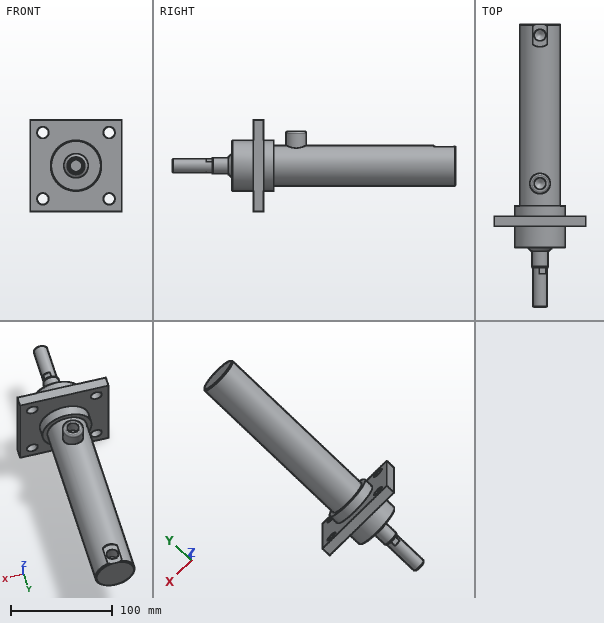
import cadquery as cq
import math

LENGTH = 278.0

ROD_DIA = 16.0
TIP_DIA = 14.0
TIP_LENGTH = 39.0
TIP_CHAMFER = 1.0
SHOULDER_CHAMFER_LENGTH = 1.5
SHOULDER_CHAMFER_DEPTH = 0.5
FLAT_LENGTH = 5.8
ACROSS_FLATS = 12.0
FLAT_TILT = 25.0

HEAD_DIA = 50.0
HEAD_FRONT = 58.5
HEAD_LENGTH = 41.1
HEAD_BACK = HEAD_FRONT + HEAD_LENGTH
HEAD_CHAMFER = 0.8
COLLAR_BASE_DIA = 24.0
COLLAR_FRONT_DIA = 17.2
COLLAR_LENGTH = (COLLAR_BASE_DIA - COLLAR_FRONT_DIA) / 2
FLANGE_SIZE = 90.0
FLANGE_THICKNESS = 10.0
FLANGE_FRONT = HEAD_BACK - 2 * FLANGE_THICKNESS
FLANGE_HOLE_DIA = 11.0
FLANGE_HOLE_PITCH = 65.0

TUBE_DIA = 40.0
TUBE_CHAMFER = 1.0

PORT_DIA = 11.5
PORT_DEPTH = 12.5
DRILL_POINT_ANGLE = 118.0
BOSS_DIA = 20.0
BOSS_TOP = 34.0
BOSS_EDGE_RADIUS = 2.0
BOSS_Y = 121.5
END_PORT_Y = LENGTH - 10.8
SPOTFACE_DIA = 23.0
SPOTFACE_DEPTH = 1.5
SPOTFACE_Z = TUBE_DIA / 2 - SPOTFACE_DEPTH


def rod_cylinder(diameter, start, length):
    """Cylinder on the Y axis from Y = start."""
    return cq.Workplane("XZ", origin=(0, start, 0)).circle(diameter / 2).extrude(-length)


def wrench_flats():
    """Material to remove outside the two parallel flats behind the threaded tip."""
    start = TIP_LENGTH - FLAT_LENGTH
    envelope = rod_cylinder(ROD_DIA, start, FLAT_LENGTH)
    kept = (
        cq.Workplane("XY")
        .box(2 * ROD_DIA, FLAT_LENGTH, ACROSS_FLATS, centered=(True, False, True))
        .rotate((0, 0, 0), (0, 1, 0), FLAT_TILT)
        .translate((0, start, 0))
    )
    return envelope.cut(kept)


def make_rod():
    """Rod turned about Y, ending at the back of the head."""
    rod_radius = ROD_DIA / 2
    tip_radius = TIP_DIA / 2
    profile = [
        (0, 0),
        (tip_radius - TIP_CHAMFER, 0),
        (tip_radius, TIP_CHAMFER),
        (tip_radius, TIP_LENGTH),
        (rod_radius - SHOULDER_CHAMFER_DEPTH, TIP_LENGTH),
        (rod_radius, TIP_LENGTH + SHOULDER_CHAMFER_LENGTH),
        (rod_radius, HEAD_BACK),
        (0, HEAD_BACK),
    ]
    turned = cq.Workplane("XY").polyline(profile).close().revolve(360, (0, 0, 0), (0, 1, 0))
    return turned.cut(wrench_flats())


def make_barrel():
    """Collar, head and tube as one shape turned about Y."""
    head_radius = HEAD_DIA / 2
    tube_radius = TUBE_DIA / 2
    profile = [
        (0, HEAD_FRONT - COLLAR_LENGTH),
        (COLLAR_FRONT_DIA / 2, HEAD_FRONT - COLLAR_LENGTH),
        (COLLAR_BASE_DIA / 2, HEAD_FRONT),
        (head_radius - HEAD_CHAMFER, HEAD_FRONT),
        (head_radius, HEAD_FRONT + HEAD_CHAMFER),
        (head_radius, HEAD_BACK),
        (tube_radius, HEAD_BACK),
        (tube_radius, LENGTH - TUBE_CHAMFER),
        (tube_radius - TUBE_CHAMFER, LENGTH),
        (0, LENGTH),
    ]
    return cq.Workplane("XY").polyline(profile).close().revolve(360, (0, 0, 0), (0, 1, 0))


def make_flange():
    """Square plate with a bolt hole near each corner."""
    return (
        cq.Workplane("XZ", origin=(0, FLANGE_FRONT, 0))
        .rect(FLANGE_SIZE, FLANGE_SIZE)
        .extrude(-FLANGE_THICKNESS)
        .faces("<Y")
        .workplane(origin=(0, FLANGE_FRONT, 0))
        .rect(FLANGE_HOLE_PITCH, FLANGE_HOLE_PITCH, forConstruction=True)
        .vertices()
        .hole(FLANGE_HOLE_DIA)
    )


def make_boss():
    """Round-edged port boss standing on the tube, rooted at the tube axis."""
    boss = cq.Workplane("XY", origin=(0, BOSS_Y, 0)).circle(BOSS_DIA / 2).extrude(BOSS_TOP)
    return boss.faces(">Z").edges().fillet(BOSS_EDGE_RADIUS)


def port_hole(y, top):
    """Blind drilled hole going down from Z = top, with a conical bottom."""
    radius = PORT_DIA / 2
    point_length = radius / math.tan(math.radians(DRILL_POINT_ANGLE / 2))
    profile = [
        (0, 0),
        (radius, 0),
        (radius, -PORT_DEPTH),
        (0, -PORT_DEPTH - point_length),
    ]
    drill = cq.Workplane("XZ").polyline(profile).close().revolve(360, (0, 0, 0), (0, 1, 0))
    return drill.translate((0, y, top))


def end_spotface():
    """Flat seat around the port at the closed end."""
    seat = cq.Workplane("XY", origin=(0, END_PORT_Y, SPOTFACE_Z))
    return seat.circle(SPOTFACE_DIA / 2).extrude(SPOTFACE_DEPTH)


def make_housing():
    """Head, flange, tube and boss in one piece, bored for the rod."""
    bore_start = HEAD_FRONT - COLLAR_LENGTH
    housing = make_barrel().union(make_flange()).union(make_boss())
    housing = housing.cut(rod_cylinder(ROD_DIA, bore_start, HEAD_BACK - bore_start))
    housing = housing.cut(end_spotface())
    housing = housing.cut(port_hole(END_PORT_Y, SPOTFACE_Z))
    return housing.cut(port_hole(BOSS_Y, BOSS_TOP))


rod = make_rod()
housing = make_housing()

result = cq.Compound.makeCompound([housing.solids().val(), rod.solids().val()])